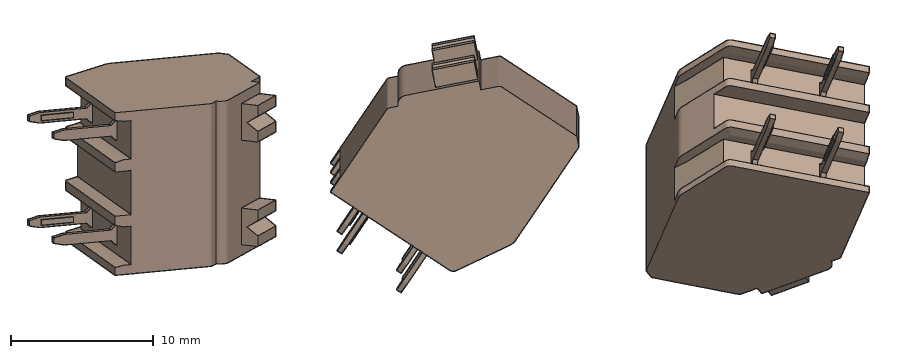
import cadquery as cq
import math


OVERALL_LENGTH = 16.72

WIDTH = 12.7
LENGTH = 12.9
HEIGHT = 11.82
REAR_CHAMFER = 0.57
SLANT_TOP = 4.08
SLANT_FOOT = 2.4
UPPER_SLANT_RADIUS = 1.0
LOWER_SLANT_RADIUS = 0.5
RAKE_CORNER_RADIUS = 0.25

RAKE_SUM = 19.91
SEAT_SUM = 20.83
SEAT_START = -3.93
STEP_HEIGHT = (SEAT_SUM - RAKE_SUM) / math.sqrt(2)
SEAT_NOSE_X = 12.17

LEVER_START = -3.8
LEVER_END = 0.47
LEVER_WIDTH = 2.66
TIP_Y = 13.21
LEVER_SUM = 2 * TIP_Y + LEVER_START
GROOVE_WIDTH = 1.1
GROOVE_DEPTH = 0.84

POLE_PITCH = 7.59
FLOOR_Y = 1.2
POCKET_WALL_TOP = 5.23
POCKET_WALL_FOOT = 2.4
OUTER_LIP = 0.59
OUTER_LIP_RISE = 0.1
INNER_LIP_Z = 2.27
INNER_LIP_RISE = 0.17
LIP_BEVEL = 0.67
CENTRE_SLOT = 3.21
MARGIN = 3.35

PIN_LENGTH = OVERALL_LENGTH - TIP_Y
PIN_PITCH = 5.0
FIRST_PIN_X = 4.61
PIN_THICKNESS = 0.38
PIN_WIDTH = 0.77
PIN_TIP_WIDTH = 0.4
PIN_TAPER = 0.77
SHOULDER_WIDTH = 1.45
SHOULDER_LENGTH = 0.1
FLARE = (SHOULDER_WIDTH - PIN_WIDTH) / 2
RIB_HEIGHT = 0.12
RIB_WIDTH = 0.4
RIB_TOP = -0.28
RIB_BOTTOM = -2.65

POLES = (-POLE_PITCH / 2, POLE_PITCH / 2)


def raked(total, difference):
    """Point with the given X + Y and X - Y."""
    return ((total + difference) / 2, (total - difference) / 2)


def slab(points, bottom, top):
    """Closed polygon in X and Y, filled between two Z levels."""
    return cq.Workplane("XY").workplane(offset=bottom).polyline(points).close().extrude(top - bottom)


def make_housing():
    nose_top = (SEAT_NOSE_X, SEAT_SUM - SEAT_NOSE_X)
    nose_bottom = (SEAT_NOSE_X, RAKE_SUM - SEAT_NOSE_X)
    nose_centre = (SEAT_NOSE_X - STEP_HEIGHT / math.sqrt(2), (nose_top[1] + nose_bottom[1]) / 2)
    nose_tip = (nose_centre[0] + STEP_HEIGHT, nose_centre[1])
    block = (
        cq.Workplane("XY")
        .workplane(offset=-HEIGHT / 2)
        .moveTo(SLANT_FOOT, 0)
        .lineTo(WIDTH, 0)
        .lineTo(WIDTH, RAKE_SUM - WIDTH)
        .lineTo(*nose_bottom)
        .threePointArc(nose_tip, nose_top)
        .lineTo(*raked(SEAT_SUM, SEAT_START))
        .lineTo(*raked(RAKE_SUM, SEAT_START))
        .lineTo(RAKE_SUM - LENGTH, LENGTH)
        .lineTo(REAR_CHAMFER, LENGTH)
        .lineTo(0, LENGTH - REAR_CHAMFER)
        .lineTo(0, SLANT_TOP)
        .close()
        .extrude(HEIGHT)
    )

    def round_corner(solid, x, y, radius):
        return solid.edges(cq.selectors.NearestToPointSelector((x, y, 0))).fillet(radius)

    block = round_corner(block, 0, SLANT_TOP, UPPER_SLANT_RADIUS)
    block = round_corner(block, SLANT_FOOT, 0, LOWER_SLANT_RADIUS)
    block = round_corner(block, WIDTH, RAKE_SUM - WIDTH, RAKE_CORNER_RADIUS)
    return round_corner(block, RAKE_SUM - LENGTH, LENGTH, RAKE_CORNER_RADIUS)


def make_lip(base_z, rise):
    """Bevelled top of a lip, standing on base_z and growing narrower upward from the housing outline."""
    far_x = WIDTH + MARGIN
    far_y = POCKET_WALL_TOP + MARGIN
    outline = (
        cq.Sketch()
        .polygon([(0, SLANT_TOP), (SLANT_FOOT, 0), (far_x, 0), (far_x, far_y), (0, far_y), (0, SLANT_TOP)])
        .reset()
        .vertices(cq.selectors.NearestToPointSelector((0, SLANT_TOP, 0)))
        .fillet(UPPER_SLANT_RADIUS)
    )
    taper = math.degrees(math.atan(LIP_BEVEL / rise))
    return cq.Workplane("XY").workplane(offset=base_z).placeSketch(outline).extrude(rise, taper=taper)


def make_pocket():
    """Space to remove around the pins of the upper pole, leaving the bevelled lips on both sides."""
    bottom = INNER_LIP_Z
    top = HEIGHT / 2 - OUTER_LIP
    space = slab(
        [
            (0, POCKET_WALL_TOP),
            (POCKET_WALL_FOOT, FLOOR_Y),
            (WIDTH + MARGIN / 2, FLOOR_Y),
            (WIDTH + MARGIN / 2, -MARGIN),
            (-MARGIN, -MARGIN),
            (-MARGIN, POCKET_WALL_TOP),
        ],
        bottom,
        top,
    )
    inner_lip = make_lip(bottom, INNER_LIP_RISE)
    outer_lip = make_lip(-top, OUTER_LIP_RISE).mirror("XY")
    return space.cut(inner_lip).cut(outer_lip)


def make_centre_slot():
    return cq.Workplane("XY").box(2 * (WIDTH + MARGIN), 2 * FLOOR_Y, CENTRE_SLOT)


def make_lever(z):
    lever = slab(
        [
            raked(RAKE_SUM, LEVER_START),
            raked(RAKE_SUM, LEVER_END),
            raked(LEVER_SUM, LEVER_END),
            raked(LEVER_SUM, LEVER_START),
        ],
        z - LEVER_WIDTH / 2,
        z + LEVER_WIDTH / 2,
    )
    start = raked(LEVER_SUM, LEVER_START)
    section = cq.Plane(origin=(*start, z), xDir=(1, 1, 0), normal=(1, -1, 0))
    groove_length = (LEVER_END - LEVER_START) / math.sqrt(2)
    groove = (
        cq.Workplane(section)
        .polyline([(0, -GROOVE_WIDTH / 2), (-GROOVE_DEPTH, 0), (0, GROOVE_WIDTH / 2)])
        .close()
        .extrude(groove_length)
    )
    return lever.cut(groove)


def make_pin(x, z, rib_side):
    """Flat pin with a flared shoulder; rib_side is the X direction its stiffening rib faces."""
    flare_top = FLOOR_Y - SHOULDER_LENGTH
    half_outline = [
        (FLOOR_Y, SHOULDER_WIDTH / 2),
        (flare_top, SHOULDER_WIDTH / 2),
        (flare_top - FLARE, PIN_WIDTH / 2),
        (PIN_TAPER - PIN_LENGTH, PIN_WIDTH / 2),
        (-PIN_LENGTH, PIN_TIP_WIDTH / 2),
    ]
    other_half = [(y, -half_width) for y, half_width in reversed(half_outline)]
    blade = (
        cq.Workplane("YZ", origin=(x, 0, z))
        .polyline(half_outline + other_half)
        .close()
        .extrude(PIN_THICKNESS / 2, both=True)
    )
    rib_x = x + rib_side * PIN_THICKNESS / 2
    rib = (
        cq.Workplane("XY")
        .box(2 * RIB_HEIGHT, RIB_TOP - RIB_BOTTOM, RIB_WIDTH)
        .translate((rib_x, (RIB_TOP + RIB_BOTTOM) / 2, z))
    )
    return blade.union(rib)


pocket = make_pocket()
result = make_housing().cut(pocket).cut(pocket.mirror("XY")).cut(make_centre_slot())
for pole_z in POLES:
    result = result.union(make_lever(pole_z))
    result = result.union(make_pin(FIRST_PIN_X, pole_z, 1))
    result = result.union(make_pin(FIRST_PIN_X + PIN_PITCH, pole_z, -1))